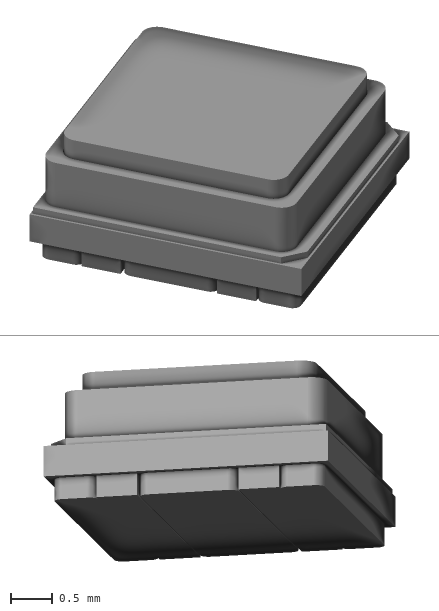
import cadquery as cq

PAD_HEIGHT = 0.27
SUBSTRATE_HEIGHT = 0.38
PLATE_HEIGHT = 0.09
FRAME_HEIGHT = 0.62
WINDOW_PROTRUSION = 0.26

SUBSTRATE_SIDE = 3.55

PLATE_SIDE = 3.49
PLATE_CORNER_CUT = 0.245

FRAME_CENTER_X = -0.055
FRAME_SIDE = 3.273
FRAME_CORNER_RADIUS = 0.2

WINDOW_SIDE = 2.92
WINDOW_CORNER_RADIUS = 0.195
WINDOW_CLEARANCE = 0.01

PAD_ROW_WIDTH = 3.372
PAD_LENGTH = 3.337
PAD_CORNER_RADIUS = 0.11
OUTER_PAD_WIDTH = 0.545
CENTER_PAD_WIDTH = 1.23
SPACER_WIDTH = 0.508

SUBSTRATE_BOTTOM = PAD_HEIGHT
PLATE_BOTTOM = SUBSTRATE_BOTTOM + SUBSTRATE_HEIGHT
FRAME_BOTTOM = PLATE_BOTTOM + PLATE_HEIGHT
WINDOW_HEIGHT = FRAME_HEIGHT + WINDOW_PROTRUSION

OUTER_PAD_X = (PAD_ROW_WIDTH - OUTER_PAD_WIDTH) / 2
SPACER_X = PAD_ROW_WIDTH / 2 - OUTER_PAD_WIDTH - SPACER_WIDTH / 2


def block(width, length, height, bottom, center_x=0.0):
    """Rectangular block centred on Y = 0 that stands on the level `bottom`."""
    return (
        cq.Workplane("XY", origin=(center_x, 0, bottom))
        .rect(width, length)
        .extrude(height)
    )


def rounded_block(width, length, height, bottom, radius, center_x=0.0):
    """Block with its four vertical edges rounded."""
    return block(width, length, height, bottom, center_x).edges("|Z").fillet(radius)


def make_substrate():
    return block(SUBSTRATE_SIDE, SUBSTRATE_SIDE, SUBSTRATE_HEIGHT, SUBSTRATE_BOTTOM)


def make_plate():
    plate = block(PLATE_SIDE, PLATE_SIDE, PLATE_HEIGHT, PLATE_BOTTOM)
    return plate.faces(">X").edges("|Z").chamfer(PLATE_CORNER_CUT)


def make_frame():
    """Rounded square ring with a through opening for the window."""
    outside = rounded_block(
        FRAME_SIDE, FRAME_SIDE, FRAME_HEIGHT, FRAME_BOTTOM, FRAME_CORNER_RADIUS, FRAME_CENTER_X
    )
    opening_side = WINDOW_SIDE + 2 * WINDOW_CLEARANCE
    opening_radius = WINDOW_CORNER_RADIUS + WINDOW_CLEARANCE
    opening = rounded_block(
        opening_side, opening_side, FRAME_HEIGHT, FRAME_BOTTOM, opening_radius, FRAME_CENTER_X
    )
    return outside.cut(opening)


def make_window():
    """Rounded square block that rests on the plate and rises above the frame."""
    return rounded_block(
        WINDOW_SIDE, WINDOW_SIDE, WINDOW_HEIGHT, FRAME_BOTTOM, WINDOW_CORNER_RADIUS, FRAME_CENTER_X
    )


def make_pad(width, center_x):
    return rounded_block(width, PAD_LENGTH, PAD_HEIGHT, 0, PAD_CORNER_RADIUS, center_x)


def make_spacer(center_x):
    """Square-cornered strip between the centre pad and an outer pad."""
    return block(SPACER_WIDTH, PAD_LENGTH, PAD_HEIGHT, 0, center_x)


substrate = make_substrate()
plate = make_plate()
frame = make_frame()
window = make_window()
center_pad = make_pad(CENTER_PAD_WIDTH, 0)
outer_pads = [make_pad(OUTER_PAD_WIDTH, side * OUTER_PAD_X) for side in (-1, 1)]
spacers = [make_spacer(side * SPACER_X) for side in (-1, 1)]

result = cq.Compound.makeCompound([
    substrate.val(),
    plate.val(),
    frame.val(),
    window.val(),
    center_pad.val(),
    *[pad.val() for pad in outer_pads],
    *[spacer.val() for spacer in spacers],
])